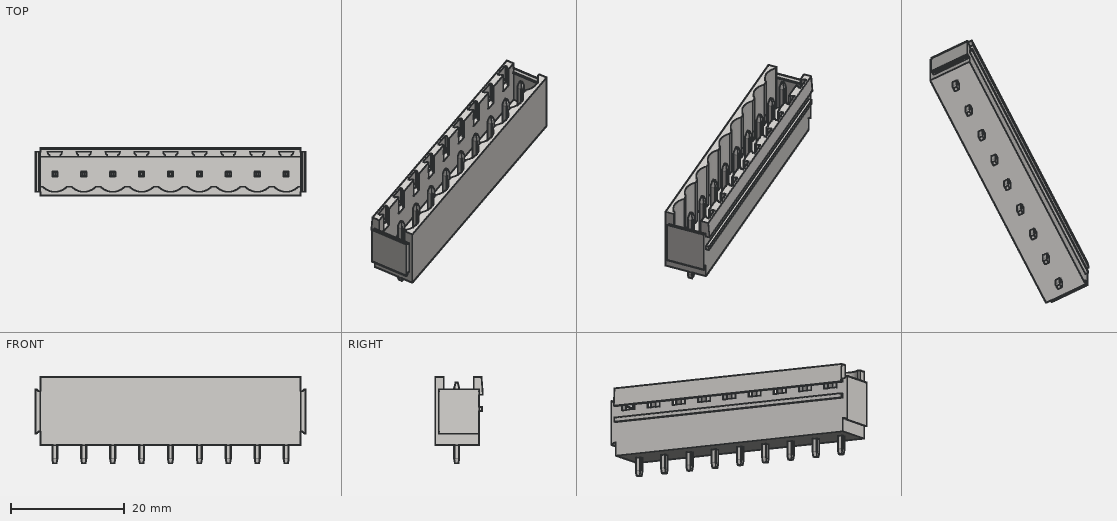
import cadquery as cq

POLE_COUNT = 9
PITCH = 5.08
LENGTH = POLE_COUNT * PITCH
HEIGHT = 12.0

BACK_Y = 7.75
FLOOR_Z = 3.0
FRONT_WALL = 1.55
BACK_WALL = 0.95
BACK_INNER_Y = BACK_Y - BACK_WALL

SCALLOP_WIDTH = 4.2
SCALLOP_DEPTH = 0.87

LIP_Y = 8.43
LIP_TOP_Y = 8.19
LIP_BOTTOM_Z = 8.85
RIB_Y = 8.3
RIB_BOTTOM_Z = 6.0
RIB_HEIGHT = 0.75

SLOT_BOTTOM_Z = 8.0
SLOT_THROAT_WIDTH = 1.86
SLOT_THROAT_DEPTH = 0.3
SLOT_FLARE = 0.32

PLATE_THICKNESS = 0.88
PLATE_FRONT_Y = FRONT_WALL - SCALLOP_DEPTH
PLATE_ROOT_BOTTOM_Z = 2.38
PLATE_ROOT_TOP_Z = 9.5
PLATE_ROOT_DEPTH = 0.32
PLATE_LIP_THICKNESS = 0.15
PLATE_FLARE = 0.37

PIN_Y = 3.8
PIN_WIDTH = 1.0
PIN_CHAMFER = 0.15
PIN_BOTTOM_Z = -3.2
PIN_TOP_Z = 11.06
TAIL_TAPER_LENGTH = 0.95
TAIL_END_WIDTH = 0.65
TIP_TAPER_LENGTH = 1.2
TIP_END_WIDTH = 0.4

pole_positions = [(i + 0.5) * PITCH for i in range(POLE_COUNT)]


def extrude_along_housing(points):
    """Extrude a closed (y, z) profile over the whole housing length."""
    return cq.Workplane("YZ").polyline(points).close().extrude(LENGTH)


def make_block():
    """Housing cross-section: floor, front wall and back wall with its lip."""
    return extrude_along_housing([
        (0, 0),
        (BACK_Y, 0),
        (BACK_Y, LIP_BOTTOM_Z),
        (LIP_Y, LIP_BOTTOM_Z),
        (LIP_TOP_Y, HEIGHT),
        (BACK_INNER_Y, HEIGHT),
        (BACK_INNER_Y, FLOOR_Z),
        (FRONT_WALL, FLOOR_Z),
        (FRONT_WALL, HEIGHT),
        (0, HEIGHT),
    ])


def make_back_rib():
    """Rib along the back wall, below the lip."""
    rib_top_z = RIB_BOTTOM_Z + RIB_HEIGHT
    return extrude_along_housing([
        (BACK_INNER_Y, RIB_BOTTOM_Z),
        (RIB_Y, RIB_BOTTOM_Z),
        (RIB_Y, rib_top_z),
        (BACK_INNER_Y, rib_top_z),
    ])


def make_scallop(x):
    """Arc-shaped cut in the inside of the front wall, down to the floor."""
    half_width = SCALLOP_WIDTH / 2
    return (
        cq.Workplane("XY", origin=(x, FRONT_WALL, FLOOR_Z))
        .moveTo(-half_width, 0)
        .threePointArc((0, -SCALLOP_DEPTH), (half_width, 0))
        .close()
        .extrude(HEIGHT - FLOOR_Z)
    )


def make_slot(x):
    """Dovetail slot, wider towards the back; it opens through the wall under the lip."""
    throat = SLOT_THROAT_WIDTH / 2
    back = throat + SLOT_FLARE
    flare_end = SLOT_THROAT_DEPTH + SLOT_FLARE
    return (
        cq.Workplane("XY", origin=(x, BACK_INNER_Y, SLOT_BOTTOM_Z))
        .polyline([
            (-throat, 0),
            (-throat, SLOT_THROAT_DEPTH),
            (-back, flare_end),
            (-back, BACK_WALL),
            (back, BACK_WALL),
            (back, flare_end),
            (throat, SLOT_THROAT_DEPTH),
            (throat, 0),
        ])
        .close()
        .extrude(HEIGHT - SLOT_BOTTOM_Z)
    )


def make_end_plate():
    """Plate on the x = 0 end, flaring outwards at its top and bottom edges."""
    lip_inner_x = PLATE_LIP_THICKNESS - PLATE_THICKNESS
    lip_bottom_z = PLATE_ROOT_BOTTOM_Z - PLATE_FLARE
    lip_top_z = PLATE_ROOT_TOP_Z + PLATE_FLARE
    return (
        cq.Workplane("XZ", origin=(0, PLATE_FRONT_Y, 0))
        .polyline([
            (0, PLATE_ROOT_BOTTOM_Z),
            (-PLATE_ROOT_DEPTH, PLATE_ROOT_BOTTOM_Z),
            (lip_inner_x, lip_bottom_z),
            (-PLATE_THICKNESS, lip_bottom_z),
            (-PLATE_THICKNESS, lip_top_z),
            (lip_inner_x, lip_top_z),
            (-PLATE_ROOT_DEPTH, PLATE_ROOT_TOP_Z),
            (0, PLATE_ROOT_TOP_Z),
        ])
        .close()
        .extrude(PLATE_FRONT_Y - BACK_Y)
    )


def make_taper(z, end_width, length):
    """Square frustum on the pin axis; a negative length points it downwards."""
    return (
        cq.Workplane("XY", origin=(0, PIN_Y, z))
        .rect(PIN_WIDTH, PIN_WIDTH)
        .workplane(offset=length)
        .rect(end_width, end_width)
        .loft(ruled=True)
    )


def make_pin_bar(bottom_z, top_z):
    """Straight square bar on the pin axis."""
    return (
        cq.Workplane("XY", origin=(0, PIN_Y, bottom_z))
        .rect(PIN_WIDTH, PIN_WIDTH)
        .extrude(top_z - bottom_z)
    )


def make_pin(x):
    """Square contact tapered at each end; its edge chamfers run out on the tapers."""
    shank_bottom_z = PIN_BOTTOM_Z + TAIL_TAPER_LENGTH
    shank_top_z = PIN_TOP_Z - TIP_TAPER_LENGTH
    shank = make_pin_bar(shank_bottom_z, shank_top_z)
    tail = make_taper(shank_bottom_z, TAIL_END_WIDTH, -TAIL_TAPER_LENGTH)
    tip = make_taper(shank_top_z, TIP_END_WIDTH, TIP_TAPER_LENGTH)
    chamfered_bar = make_pin_bar(PIN_BOTTOM_Z, PIN_TOP_Z).edges("|Z").chamfer(PIN_CHAMFER)
    return shank.union(tail).union(tip).intersect(chamfered_bar).translate((x, 0, 0))


def make_housing():
    left_plate = make_end_plate()
    right_plate = left_plate.mirror("YZ").translate((LENGTH, 0, 0))
    body = make_block().union(make_back_rib())
    for x in pole_positions:
        body = body.cut(make_scallop(x)).cut(make_slot(x))
    return body.union(left_plate).union(right_plate)


pins = [make_pin(x) for x in pole_positions]

housing = make_housing()
for pin in pins:
    housing = housing.cut(pin)

result = cq.Compound.makeCompound([housing.val(), *[pin.val() for pin in pins]])